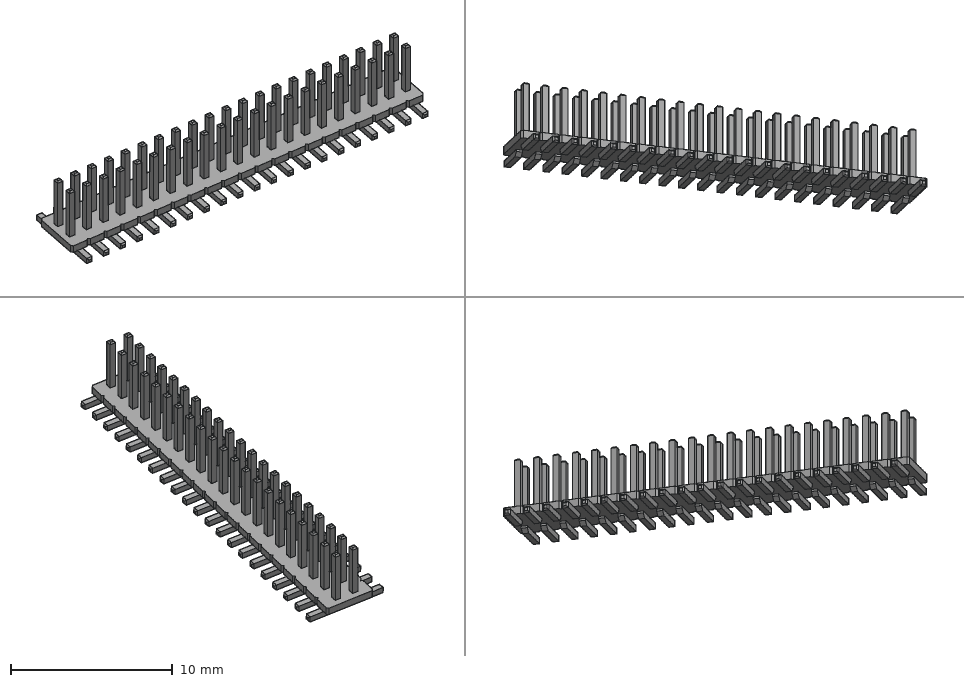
import cadquery as cq

LENGTH = 26.67
ROWS = 21
SPAN = 5.57
HEIGHT = 4.4
BODY_WIDTH = 3.41
BODY_THICKNESS = 0.5
NOTCH = 0.128
PIN = 0.4
TIP_CHAMFER = 0.101
BEND_CHAMFER = 0.27

PITCH = LENGTH / ROWS
BODY_BOTTOM = PIN
PIN_CENTER_X = PITCH / 2
PIN_INNER_X = PIN_CENTER_X - PIN / 2
PIN_OUTER_X = PIN_CENTER_X + PIN / 2


def row_center(row):
    """Y position of a contact row."""
    return (row - (ROWS - 1) / 2) * PITCH


def make_body():
    """Insulator outline: V-notches in both long sides between rows, half-notches at the corners."""
    half_width = BODY_WIDTH / 2
    root_x = half_width - NOTCH
    right_side = []
    for row in range(ROWS):
        y = row_center(row)
        right_side += [
            (root_x, y - PITCH / 2),
            (half_width, y - PITCH / 2 + NOTCH),
            (half_width, y + PITCH / 2 - NOTCH),
        ]
    right_side.append((root_x, LENGTH / 2))
    left_side = [(-x, y) for x, y in reversed(right_side)]
    return (
        cq.Workplane("XY", origin=(0, 0, BODY_BOTTOM))
        .polyline(right_side + left_side)
        .close()
        .extrude(BODY_THICKNESS)
    )


def make_contact():
    """L-shaped square-wire contact: a pin rising in +Z and a lead running out in +X."""
    profile = [
        (PIN_INNER_X, HEIGHT),
        (PIN_OUTER_X, HEIGHT),
        (PIN_OUTER_X, PIN),
        (SPAN / 2, PIN),
        (SPAN / 2, 0),
        (PIN_INNER_X + BEND_CHAMFER, 0),
        (PIN_INNER_X, BEND_CHAMFER),
    ]
    contact = cq.Workplane("XZ").polyline(profile).close().extrude(PIN / 2, both=True)
    contact = contact.faces(">Z").chamfer(TIP_CHAMFER)
    return contact.faces(">X").chamfer(TIP_CHAMFER)


right_contact = make_contact()
left_contact = right_contact.mirror("YZ")

contacts = []
for row in range(ROWS):
    for contact in (right_contact, left_contact):
        contacts.append(contact.translate((0, row_center(row), 0)).val())

result = cq.Workplane(make_body().val().fuse(*contacts))